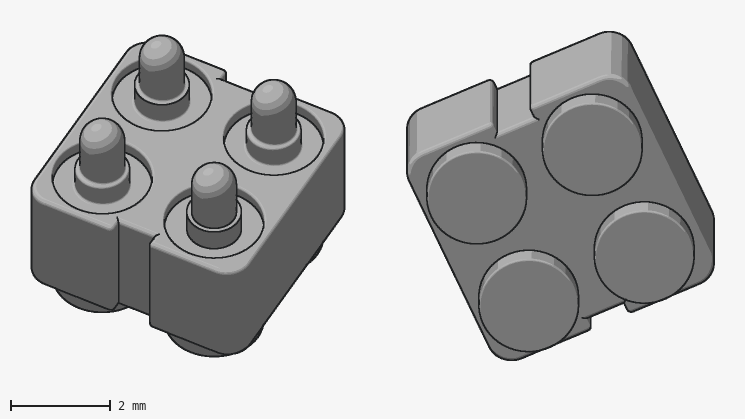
import cadquery as cq

HOUSING_SIDE = 4.9
HOUSING_HEIGHT = 2.5
CORNER_RADIUS = 0.5
EDGE_RADIUS = 0.1
NOTCH_WIDTH = 0.8
NOTCH_DEPTH = 0.25
MOUTH_RADIUS = 0.05

PIN_OFFSET = 1.27
BARREL_RADIUS = 2.0 / 2
PLUNGER_RADIUS = 0.9 / 2
PIN_EDGE_RADIUS = 0.05
COLLAR_RADIUS = PLUNGER_RADIUS + 2 * PIN_EDGE_RADIUS
BARREL_STICKOUT = 0.5
RECESS_DEPTH = 0.25
COLLAR_HEIGHT = 0.5
PIN_STICKOUT = 1.5
BARREL_FOOT_RADIUS = 0.04

HOUSING_TOP = BARREL_STICKOUT + HOUSING_HEIGHT
BARREL_TOP = HOUSING_TOP - RECESS_DEPTH
COLLAR_TOP = BARREL_TOP + COLLAR_HEIGHT
PIN_TIP = HOUSING_TOP + PIN_STICKOUT

PINS = [
    (-1, -1, True, True),
    (1, 1, True, True),
    (-1, 1, False, True),
    (1, -1, False, False),
]


def make_housing():
    """Rounded block with a notch in the -Y and +Y sides and a through hole for each barrel."""
    block = (
        cq.Workplane("XY", origin=(0, 0, BARREL_STICKOUT))
        .rect(HOUSING_SIDE, HOUSING_SIDE)
        .extrude(HOUSING_HEIGHT)
        .edges("|Z")
        .fillet(CORNER_RADIUS)
    )
    notches = (
        cq.Workplane("XY", origin=(0, 0, BARREL_STICKOUT))
        .pushPoints([(0, side * HOUSING_SIDE / 2) for side in (-1, 1)])
        .rect(NOTCH_WIDTH, 2 * NOTCH_DEPTH)
        .extrude(HOUSING_HEIGHT)
    )
    block = block.cut(notches)

    for side in (-1, 1):
        notch_mouth = cq.selectors.BoxSelector(
            (-NOTCH_WIDTH, side * HOUSING_SIDE / 2 - NOTCH_DEPTH / 2, 0),
            (NOTCH_WIDTH, side * HOUSING_SIDE / 2 + NOTCH_DEPTH / 2, HOUSING_TOP),
        )
        block = block.edges("|Z").edges(notch_mouth).fillet(EDGE_RADIUS)
    block = block.faces("<Z or >Z").edges().fillet(EDGE_RADIUS)

    holes = (
        cq.Workplane("XY", origin=(0, 0, BARREL_STICKOUT))
        .rect(2 * PIN_OFFSET, 2 * PIN_OFFSET, forConstruction=True)
        .vertices()
        .circle(BARREL_RADIUS)
        .extrude(HOUSING_HEIGHT)
    )
    block = block.cut(holes)
    hole_mouths = block.faces(">Z").edges(cq.selectors.RadiusNthSelector(-1))
    return hole_mouths.fillet(MOUTH_RADIUS)


def make_plunger():
    """Round shaft from the collar top up to its hemispherical tip."""
    dome_base = PIN_TIP - PLUNGER_RADIUS
    half_section = (
        cq.Workplane("XZ")
        .moveTo(0, COLLAR_TOP)
        .lineTo(PLUNGER_RADIUS, COLLAR_TOP)
        .lineTo(PLUNGER_RADIUS, dome_base)
        .radiusArc((0, PIN_TIP), -PLUNGER_RADIUS)
        .close()
    )
    return half_section.revolve(360, (0, 0, 0), (0, 1, 0))


def make_corner_ring(radius, level):
    """Disc with a concave rim that rounds the inner corner at the foot of a cylinder."""
    half_section = (
        cq.Workplane("XZ")
        .moveTo(0, level)
        .lineTo(radius + PIN_EDGE_RADIUS, level)
        .radiusArc((radius, level + PIN_EDGE_RADIUS), PIN_EDGE_RADIUS)
        .lineTo(0, level + PIN_EDGE_RADIUS)
        .close()
    )
    return half_section.revolve(360, (0, 0, 0), (0, 1, 0))


def make_pin(x, y, rounded_rims, rounded_corners):
    """Domed pin on a collared barrel, with its axis at (x, y)."""
    barrel = (
        cq.Workplane("XY")
        .circle(BARREL_RADIUS)
        .extrude(BARREL_TOP)
        .faces("<Z")
        .edges()
        .fillet(BARREL_FOOT_RADIUS)
    )
    collar = (
        cq.Workplane("XY", origin=(0, 0, BARREL_TOP))
        .circle(COLLAR_RADIUS)
        .extrude(COLLAR_HEIGHT)
    )
    if rounded_rims:
        barrel = barrel.faces(">Z").edges().fillet(PIN_EDGE_RADIUS)
        collar = collar.faces(">Z").edges().fillet(PIN_EDGE_RADIUS)

    pin = barrel.union(collar).union(make_plunger())
    if rounded_corners:
        pin = pin.union(make_corner_ring(COLLAR_RADIUS, BARREL_TOP))
        pin = pin.union(make_corner_ring(PLUNGER_RADIUS, COLLAR_TOP))
    return pin.translate((x, y, 0))


housing = make_housing()
pins = [
    make_pin(x_side * PIN_OFFSET, y_side * PIN_OFFSET, rounded_rims, rounded_corners)
    for x_side, y_side, rounded_rims, rounded_corners in PINS
]

result = cq.Compound.makeCompound([housing.val(), *[pin.val() for pin in pins]])